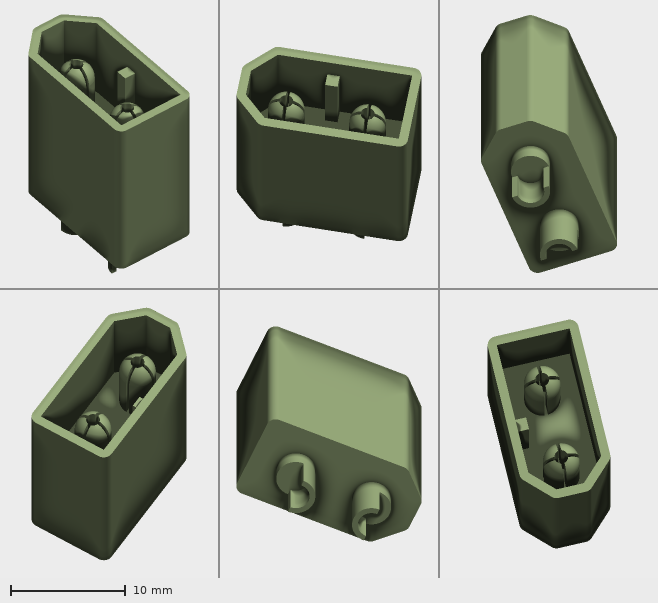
import cadquery as cq

body_length = 15.5
body_width = 8.11
body_height = 16.0
wall = 0.8
corner_chamfer = 2.5
corner_radius = wall
floor_height = body_height / 2

rim_recess = 2.0
tip_height = body_height - rim_recess
post_height = tip_height - floor_height
rib_size = 1.1

pin_pitch = 7.2
pin_diameter = 3.2
pin_bore_diameter = 1.2
slot_width = 0.3
cup_diameter = 3.4
cup_bore_diameter = 2.4
cup_length = 4.5
cup_collar_length = 1.5
cup_open_length = cup_length - cup_collar_length


def housing_outline(base_height):
    """Closed outline of the housing with sharp corners, drawn at base_height."""
    half_length = body_length / 2
    half_width = body_width / 2
    return (
        cq.Workplane("XY", origin=(0, 0, base_height))
        .moveTo(-half_length, half_width - corner_chamfer)
        .lineTo(-half_length + corner_chamfer, half_width)
        .lineTo(half_length, half_width)
        .lineTo(half_length, -half_width)
        .lineTo(-half_length + corner_chamfer, -half_width)
        .lineTo(-half_length, -half_width + corner_chamfer)
        .close()
    )


def make_housing():
    """Outer shell with rounded upright edges and a sharp-cornered cavity."""
    outer = housing_outline(0).extrude(body_height).edges("|Z").fillet(corner_radius)
    cavity_depth = body_height - floor_height
    cavity = housing_outline(floor_height).offset2D(-wall, "intersection").extrude(cavity_depth)
    return outer.cut(cavity)


def make_rib():
    """Square rib standing on the cavity floor against the +Y wall."""
    rib_y = body_width / 2 - wall - rib_size / 2
    base = cq.Workplane("XY", origin=(0, rib_y, floor_height))
    return base.rect(rib_size, rib_size).extrude(post_height)


def make_pin(x):
    """Ball-ended pin with a central bore, split into quarters by a cross slot."""
    radius = pin_diameter / 2
    base = cq.Workplane("XY", origin=(x, 0, floor_height))
    shank = base.circle(radius).extrude(post_height - radius)
    ball = cq.Workplane("XY", origin=(x, 0, tip_height - radius)).sphere(radius)
    bore = base.circle(pin_bore_diameter / 2).extrude(post_height)
    slot_along_x = base.rect(pin_diameter, slot_width).extrude(post_height)
    slot_along_y = base.rect(slot_width, pin_diameter).extrude(post_height)
    return shank.union(ball).cut(bore).cut(slot_along_x).cut(slot_along_y)


def make_cup(x):
    """Solder cup whose outward half is cut away below the collar."""
    outward = 1 if x > 0 else -1
    base = cq.Workplane("XY", origin=(x, 0, -cup_length))
    cup = base.circle(cup_diameter / 2).extrude(cup_length)
    bore = base.circle(cup_bore_diameter / 2).extrude(cup_open_length)
    outward_half = (
        base.center(outward * cup_diameter / 2, 0)
        .rect(cup_diameter, cup_diameter)
        .extrude(cup_open_length)
    )
    return cup.cut(bore).cut(outward_half)


result = make_housing().union(make_rib())
for contact_x in (-pin_pitch / 2, pin_pitch / 2):
    result = result.union(make_pin(contact_x)).union(make_cup(contact_x))